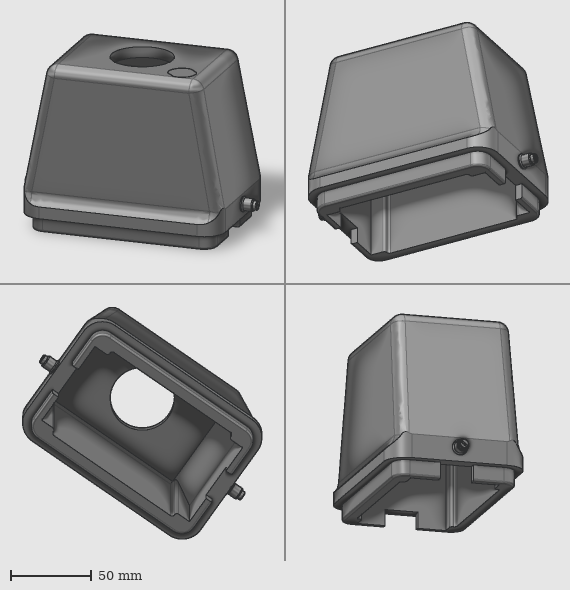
import cadquery as cq
import math

flange_bottom = 10.4
crease_height = 25.7
ledge_height = 17.1
roof_height = 108.3
total_height = 108.5

flange_length = 132.3
flange_width = 90.0
flange_corner_radius = 14.0
flare_radius = 9.0

hood_width = 80.2
end_lean = 10.7
side_lean = 1.35
hood_edge_radius = 7.3

skirt_length = 121.5
skirt_width = 79.5
skirt_corner_radius = 9.0
skirt_bottom_radius = 1.4
notch_width = 21.4

wall_thickness = 6.1
roof_thickness = 7.0
skirt_wall = 4.6
cavity_length = skirt_length - 2 * skirt_wall
cavity_width = 64.9
post_x = 46.0
post_y = 28.8
post_edge_radius = 1.8
post_root_radius = 1.7

cable_hole_diameter = 40.0

pin_span = 153.0
pin_height = 19.3
pin_root = flange_length / 2
pin_tip = pin_span / 2
pin_root_depth = 1.5
collar_radius = 10.0 / 2
collar_back_radius = 9.2 / 2
shank_radius = 8.0 / 2
shoulder_radius = 7.3 / 2
tip_radius = 6.0 / 2
tip_length = 2.6
tip_chamfer = 0.5
shoulder_chamfer = 0.8
collar_offset = 0.9
collar_taper = 0.8
driver_slot_width = 1.0
driver_slot_depth = 0.8
driver_slot_angle = 50.0

badge_x = 34.1
badge_y = -21.7
badge_diameter = 18.0
badge_flats = 16.2
badge_angle = 45.0

selection_margin = 0.2


def block(length, width, bottom, top, corner_radius):
    """Upright block centred on the Z axis with rounded corners."""
    height = top - bottom
    blank = cq.Workplane("XY").box(length, width, height, centered=(True, True, False))
    return blank.edges("|Z").fillet(corner_radius).translate((0, 0, bottom))


def hood_size(height):
    """Length and width of the hood, without its rounded edges, at a height."""
    drop = crease_height - height
    length = flange_length + 2 * drop * math.tan(math.radians(end_lean))
    width = hood_width + 2 * drop * math.tan(math.radians(side_lean))
    return length, width


def tapered_block(bottom, top, inset):
    """Block that follows the leaning sides of the hood, moved in by the inset."""
    bottom_length, bottom_width = hood_size(bottom)
    top_length, top_width = hood_size(top)
    return (
        cq.Workplane("XY", origin=(0, 0, bottom))
        .rect(bottom_length - 2 * inset, bottom_width - 2 * inset)
        .workplane(offset=top - bottom)
        .rect(top_length - 2 * inset, top_width - 2 * inset)
        .loft(ruled=True)
    )


def make_hood():
    """Tapered shell with flared foot, trimmed to the outline of the flange."""
    length, width = hood_size(flange_bottom)
    tower = tapered_block(flange_bottom, roof_height, 0)
    tower = tower.faces("not <Z").edges("not <Z").fillet(hood_edge_radius)

    ledge_length = length + 4 * flare_radius
    ledge_width = width + 4 * flare_radius
    ledge_corner = hood_edge_radius + 2 * flare_radius
    ledge = block(ledge_length, ledge_width, flange_bottom, ledge_height, ledge_corner)
    foot_line = cq.selectors.BoxSelector(
        (-length / 2, -width / 2, ledge_height - selection_margin),
        (length / 2, width / 2, ledge_height + selection_margin),
    )
    flared = ledge.union(tower).edges(foot_line).fillet(flare_radius)
    outline = block(flange_length, flange_width, flange_bottom, roof_height, flange_corner_radius)
    return flared.intersect(outline)


def make_skirt():
    skirt = block(skirt_length, skirt_width, 0, flange_bottom, skirt_corner_radius)
    return skirt.faces("<Z").edges().fillet(skirt_bottom_radius)


def make_cavity():
    """Space inside the hood, with leaning ends and a square post in every corner."""
    ceiling = roof_height - roof_thickness
    wide_space = block(2 * post_x, cavity_width, 0, ceiling, post_root_radius)
    long_space = cq.Workplane("XY").rect(cavity_length, 2 * post_y).extrude(ceiling)
    margin = selection_margin
    post_edges = cq.selectors.BoxSelector(
        (-post_x - margin, -post_y - margin, 0),
        (post_x + margin, post_y + margin, ceiling),
    )
    space = wide_space.union(long_space)
    space = space.edges("|Z").edges(post_edges).fillet(post_edge_radius)
    return space.intersect(tapered_block(0, ceiling, wall_thickness))


def make_pin():
    """Locking pin on the +X end, turned about its own axis."""
    collar_face = pin_root + collar_offset
    shoulder = pin_tip - tip_length
    half_section = [
        (pin_root - pin_root_depth, 0),
        (pin_root - pin_root_depth, collar_back_radius),
        (pin_root, collar_back_radius),
        (collar_face, collar_radius),
        (collar_face + collar_taper, shank_radius),
        (shoulder - shoulder_chamfer, shank_radius),
        (shoulder, shoulder_radius),
        (shoulder, tip_radius),
        (pin_tip - tip_chamfer, tip_radius),
        (pin_tip, tip_radius - tip_chamfer),
        (pin_tip, 0),
    ]
    pin = cq.Workplane("XZ").polyline(half_section).close().revolve(360, (0, 0), (1, 0))
    slot = (
        cq.Workplane("XY")
        .box(2 * driver_slot_depth, driver_slot_width, 2 * collar_radius)
        .rotate((0, 0, 0), (1, 0, 0), driver_slot_angle)
        .translate((pin_tip, 0, 0))
    )
    return pin.cut(slot).translate((0, 0, pin_height))


def make_badge():
    """Round badge with two straight, parallel sides."""
    thickness = total_height - roof_height
    disc = cq.Workplane("XY").circle(badge_diameter / 2).extrude(thickness)
    strip = cq.Workplane("XY").rect(badge_flats, badge_diameter).extrude(thickness)
    badge = disc.intersect(strip).rotate((0, 0, 0), (0, 0, 1), badge_angle)
    return badge.translate((badge_x, badge_y, roof_height))


cable_hole = cq.Workplane("XY").circle(cable_hole_diameter / 2).extrude(total_height)
end_notches = cq.Workplane("XY").rect(flange_length, notch_width).extrude(flange_bottom)

result = make_hood().union(make_skirt())
result = result.cut(make_cavity()).cut(cable_hole).cut(end_notches)
for turn in (0, 180):
    result = result.union(make_pin().rotate((0, 0, 0), (0, 0, 1), turn))
result = result.union(make_badge())